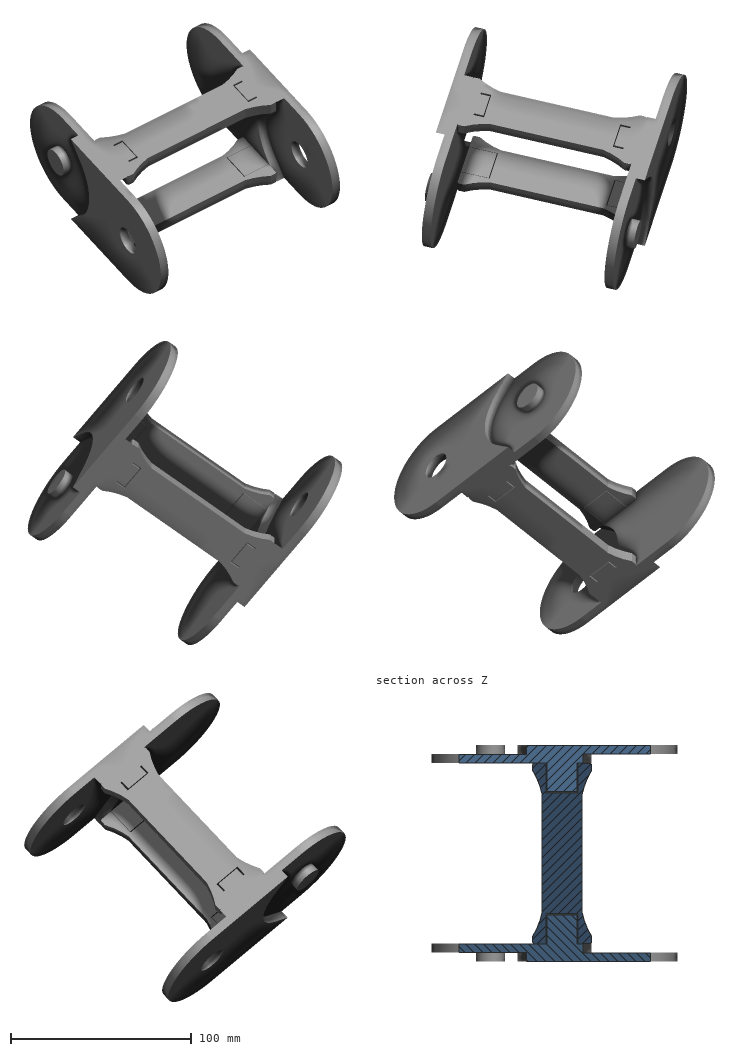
import cadquery as cq
import math

overall_length = 136.0
overall_width = 120.0
overall_height = 65.0
end_radius = overall_height / 2
pitch = overall_length - overall_height
hole_x = pitch / 2
pin_x = -hole_x
layer_thickness = 5.0
inner_half_gap = overall_width / 2 - 2 * layer_thickness
hinge_diameter = 16.0

clearance_radius = 33.0
clearance_corner = 15.0
layer_end_x = hole_x - clearance_corner

bar_thickness = 7.1
flange_width = 32.9
shaft_width = 22.3
bar_x = layer_end_x - flange_width / 2
flange_corner_radius = 1.1
flange_straight = 4.0
flange_length = 17.4
flare_radius = 42.2
bar_bottom = end_radius - bar_thickness

tongue_width = 17.0
tongue_length = 15.9
tongue_thickness = 3.5
hook_width = 13.3
hook_length = 5.5
hook_offset = 7.0
hook_end = inner_half_gap - hook_offset
slot_width = 15.5
recess_width = 17.4
joint_gap = 0.5


def xz_prism(sketch, y_start, y_end):
    """Extrude a closed sketch in the XZ plane so that it fills y_start..y_end."""
    return sketch.extrude(y_start - y_end).translate((0, y_start, 0))


def box_between(x_center, x_size, y_start, y_end, z_start, z_end):
    """Box centred on x_center along X, between the given Y and Z limits."""
    return cq.Workplane("XY").box(x_size, y_end - y_start, z_end - z_start).translate(
        (x_center, (y_start + y_end) / 2, (z_start + z_end) / 2)
    )


def plate_layer(direction, y_start, y_end):
    """Layer with a round end at X = direction * hole_x and a concave cutout at the other end."""
    corner_angle = math.atan2(end_radius, clearance_corner)
    corner_distance = math.hypot(end_radius, clearance_corner)
    tangent_angle = corner_angle - math.acos(clearance_radius / corner_distance)
    tangent_x = direction * (clearance_radius * math.cos(tangent_angle) - hole_x)
    tangent_z = clearance_radius * math.sin(tangent_angle)
    corner_x = direction * (clearance_corner - hole_x)
    round_x = direction * hole_x
    outline = (
        cq.Workplane("XZ")
        .moveTo(corner_x, end_radius)
        .lineTo(round_x, end_radius)
        .threePointArc((direction * overall_length / 2, 0), (round_x, -end_radius))
        .lineTo(corner_x, -end_radius)
        .lineTo(tangent_x, -tangent_z)
        .threePointArc((direction * (clearance_radius - hole_x), 0), (tangent_x, tangent_z))
        .close()
    )
    return xz_prism(outline, y_start, y_end)


def hinge_cylinder(x, y_start, y_end):
    circle = cq.Workplane("XZ").center(x, 0).circle(hinge_diameter / 2)
    return xz_prism(circle, y_start, y_end)


def snap_tongue():
    """Tongue and hook for the upper bar, on the +Y plate."""
    tongue = box_between(bar_x, tongue_width, inner_half_gap - tongue_length, inner_half_gap,
                         bar_bottom, bar_bottom + tongue_thickness)
    hook = box_between(bar_x, hook_width, hook_end - hook_length, hook_end, bar_bottom, end_radius)
    return tongue.union(hook)


def snap_recess():
    """Recess and slot in the upper bar that take the tongue and hook, at the +Y end."""
    recess = box_between(bar_x, recess_width, inner_half_gap - tongue_length - joint_gap, inner_half_gap,
                         bar_bottom, bar_bottom + tongue_thickness)
    slot = box_between(bar_x, slot_width, hook_end - hook_length - joint_gap, hook_end,
                       bar_bottom, end_radius)
    return recess.union(slot)


def side_plate():
    """Side plate on +Y, with its hinge pin, hinge hole and two snap tongues."""
    layer_joint = inner_half_gap + layer_thickness
    outer_face = overall_width / 2
    tongue = snap_tongue()
    return (
        plate_layer(-1, inner_half_gap, layer_joint)
        .union(plate_layer(1, layer_joint, outer_face))
        .union(hinge_cylinder(pin_x, layer_joint, outer_face))
        .cut(hinge_cylinder(hole_x, layer_joint, outer_face))
        .union(tongue)
        .union(tongue.mirror("XY"))
    )


def flared_edge(x_sign):
    """Block outside the waist of the bar on one side, with flared ends."""
    flange_x = x_sign * flange_width / 2
    shaft_x = x_sign * shaft_width / 2
    flange_y = inner_half_gap - flange_straight
    shaft_y = inner_half_gap - flange_length
    return (
        cq.Workplane("XY")
        .moveTo(flange_x, -flange_y)
        .radiusArc((shaft_x, -shaft_y), x_sign * flare_radius)
        .lineTo(shaft_x, shaft_y)
        .radiusArc((flange_x, flange_y), x_sign * flare_radius)
        .close()
        .extrude(bar_thickness)
    )


def crossbar():
    """Upper crossbar, with flared ends and a snap recess at each end."""
    blank = (
        cq.Workplane("XY")
        .rect(flange_width, 2 * inner_half_gap)
        .extrude(bar_thickness)
        .edges("|Z")
        .fillet(flange_corner_radius)
    )
    bar = blank.cut(flared_edge(-1)).cut(flared_edge(1))
    bar = bar.translate((bar_x, 0, bar_bottom))
    recess = snap_recess()
    return bar.cut(recess).cut(recess.mirror("XZ"))


back_plate = side_plate()
front_plate = back_plate.mirror("XZ")
upper_bar = crossbar()
lower_bar = upper_bar.mirror("XY")

result = cq.Compound.makeCompound(
    [back_plate.val(), front_plate.val(), upper_bar.val(), lower_bar.val()]
)